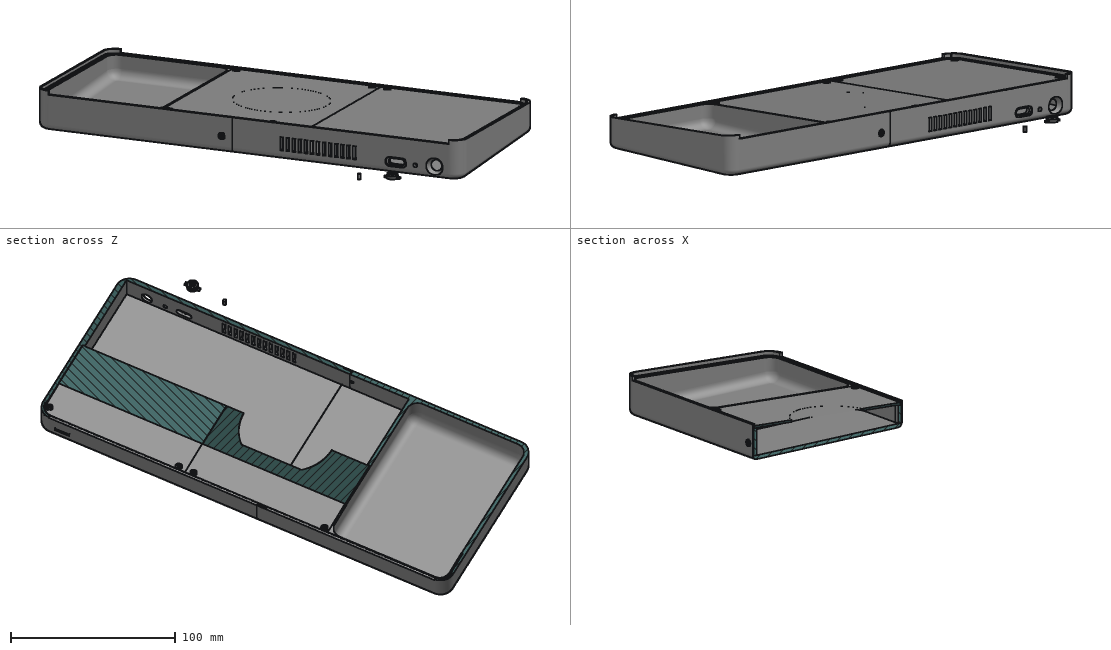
import cadquery as cq
import math

length = 281.0
depth = 115.7
half_length = length / 2
half_depth = depth / 2
front_height = 25.3
slope = math.tan(math.radians(3))
corner_radius = 8.7
bottom_fillet = 3.7
above_all = 56.2

lip_height = 2.5
lip_start = 132.0
left_lip_wall = 0.8
right_lip_wall = 1.7
side_wall = 2.0
left_wall = 2.0
right_wall = 2.5
lid_recess = 0.8
floor_thickness = 2.8
ledge = 1.5

tray_right = -59.0
tray_inset = 2.8
tray_floor = 1.5
tray_radius = 6.0
tray_corner_radius = 6.7

lid_left = -58.0
lid_seam = 40.0
lid_thickness = 1.7
lid_screw_head = 4.2
screw_shank = 2.0
screw_head_depth = 0.8
coil_diameter = 60.0
coil_skin = 0.5
coil_x = -2.2
middle_lid_screws = [(-54.5, 53.5), (-54.5, -52.8), (35.0, 53.5), (14.0, -53.0)]
right_lid_screws = [(45.2, 53.5), (135.5, 50.3), (135.7, -46.0)]

joint_x = -10.7
joint_lap = 5.5
joint_skin = 1.0

joint_screw = (-17.7, 10.0)
joint_screw_head = 4.2
joint_screw_depth = 1.0
vent_count = 13
vent_first_x = 22.0
vent_span = 48.0
vent_width = 2.0
vent_bottom, vent_top = 5.5, 14.0
port_x, port_z = 97.2, 7.0
port_recess = (13.8, 6.0)
port_opening = (10.5, 4.0)
port_recess_depth = 1.0
reset_hole = (110.0, 6.7)
reset_diameter = 2.5
jack_x, jack_z = 122.8, 7.3
jack_outer_diameter = 11.0
jack_inner_diameter = 7.0

back_slot_width = 9.8
back_slot_height = 1.7

loose_y = -77.2
pin_x = 81.2
pin_diameter = 2.0
pin_height = 3.5
button_x = 103.0
button_bottom = 3.5
button_diameter = 7.0
button_base_height = 1.7
button_top_diameter = 6.5
button_top_height = 1.0
button_ear_span = 10.0
button_ear_width = 2.0
button_ear_height = 0.8
button_recess_diameter = 3.7
button_recess_depth = 0.8
button_bar_width = 0.8


def block(x0, x1, y0, y1, z0, z1):
    """Axis-aligned box between the given limits."""
    return cq.Workplane("XY").box(x1 - x0, y1 - y0, z1 - z0, centered=False).translate((x0, y0, z0))


def below_slope(height):
    """Wedge under the sloped plane that has this height at the front face."""
    back_height = height - slope * depth
    profile = [(-half_depth, 0), (half_depth, 0), (half_depth, back_height), (-half_depth, height)]
    return cq.Workplane("YZ").polyline(profile).close().extrude(half_length, both=True)


def front_cylinder(x, z, diameter, cut_depth):
    """Cylinder that goes from the front face into the wall."""
    circle = cq.Workplane("XZ", origin=(x, -half_depth, z)).circle(diameter / 2)
    return circle.extrude(-cut_depth)


rim_height = front_height - lip_height
lid_top = rim_height - lid_recess
lid_seat = lid_top - lid_thickness
lid_half_depth = half_depth - side_wall
lid_right = half_length - right_wall
cavity_wall = side_wall + ledge


def lid_space(x0):
    """Full-height space between the side walls from x0 to the +X wall, rounded at the +X corners."""
    space = block(x0, lid_right, -lid_half_depth, lid_half_depth, 0, above_all)
    return space.edges("|Z and >X").fillet(corner_radius - right_wall)


def housing_shell():
    """Both housing halves as one sloped shell, before the joint is cut."""
    envelope = block(-half_length, half_length, -half_depth, half_depth, 0, above_all)
    shell = envelope.edges("|Z").fillet(corner_radius)
    shell = shell.faces("<Z").edges().fillet(bottom_fillet)
    shell = shell.intersect(below_slope(front_height))

    between_lips = block(-lip_start, lip_start, -half_depth, half_depth, 0, above_all)
    lip_inside = block(left_lip_wall - half_length, half_length - right_lip_wall,
                       -lid_half_depth, lid_half_depth, 0, above_all)
    lip_inside = lip_inside.edges("|Z").fillet(corner_radius - right_lip_wall)
    shell = shell.cut(between_lips.union(lip_inside).cut(below_slope(rim_height)))

    recess = lid_space(left_wall - half_length)
    recess = recess.edges("|Z and <X").fillet(corner_radius - left_wall)
    shell = shell.cut(recess.cut(below_slope(lid_top)))

    shell = shell.cut(lid_space(lid_left).cut(below_slope(lid_seat)))
    cavity = block(lid_left + ledge, lid_right - ledge, cavity_wall - half_depth,
                   half_depth - cavity_wall, floor_thickness, above_all)
    shell = shell.cut(cavity)
    return shell.cut(tray())


def tray():
    """Open tray at the -X end with rounded corners and floor edges."""
    tray_half_depth = half_depth - tray_inset
    space = block(tray_inset - half_length, tray_right, -tray_half_depth, tray_half_depth,
                  tray_floor, above_all)
    space = space.edges("|Z").fillet(tray_corner_radius)
    return space.faces("<Z").edges().fillet(tray_radius)


def vents():
    pitch = vent_span / (vent_count - 1)
    slots = cq.Workplane("XY")
    for i in range(vent_count):
        x = vent_first_x + i * pitch
        slots = slots.add(block(x - vent_width / 2, x + vent_width / 2, -half_depth,
                                cavity_wall - half_depth, vent_bottom, vent_top))
    return slots.combine()


def port():
    """Connector opening inside a shallow rounded recess."""
    face = cq.Workplane("XZ", origin=(port_x, -half_depth, port_z))
    recess = face.slot2D(*port_recess).extrude(-port_recess_depth)
    return recess.union(face.slot2D(*port_opening).extrude(-cavity_wall))


def jack():
    """Conical mouth that narrows to the inside of the wall."""
    face = cq.Workplane("XZ", origin=(jack_x, -half_depth, jack_z)).circle(jack_outer_diameter / 2)
    return face.workplane(offset=-cavity_wall).circle(jack_inner_diameter / 2).loft()


def joint_screw_hole():
    head = front_cylinder(*joint_screw, joint_screw_head, joint_screw_depth)
    return head.union(front_cylinder(*joint_screw, screw_shank, cavity_wall))


def back_slot():
    return block(jack_x - back_slot_width / 2, jack_x + back_slot_width / 2,
                 half_depth - cavity_wall, half_depth,
                 jack_z - back_slot_height / 2, jack_z + back_slot_height / 2)


def right_half_zone():
    """Space of the right half: it laps behind the outer skin of the left half."""
    beyond_joint = block(joint_x, half_length, -half_depth, half_depth, 0, above_all)
    lap = block(joint_x - joint_lap, joint_x, joint_skin - half_depth, half_depth - joint_skin,
                floor_thickness, above_all)
    return beyond_joint.union(lap)


def lid(x0, x1, screws):
    """Sloped plate that fills the seat between x0 and x1, with screw holes."""
    plate = lid_space(lid_left).intersect(below_slope(lid_top)).cut(below_slope(lid_seat))
    plate = plate.intersect(block(x0, x1, -half_depth, half_depth, 0, above_all))
    for x, y in screws:
        shank = cq.Workplane("XY", origin=(x, y, 0)).circle(screw_shank / 2).extrude(above_all)
        head = cq.Workplane("XY", origin=(x, y, 0)).circle(lid_screw_head / 2).extrude(above_all)
        plate = plate.cut(shank).cut(head.cut(below_slope(lid_top - screw_head_depth)))
    return plate


def coil_pocket():
    """Round pocket in the underside of the middle lid."""
    disc = cq.Workplane("XY", origin=(coil_x, 0, 0)).circle(coil_diameter / 2).extrude(above_all)
    return disc.intersect(below_slope(lid_top - coil_skin))


def pin():
    return cq.Workplane("XY", origin=(pin_x, loose_y, 0)).circle(pin_diameter / 2).extrude(pin_height)


def button():
    """Two-step round button with ears at its foot and a recess, crossed by a bar, in its top."""
    foot = cq.Workplane("XY", origin=(button_x, loose_y, button_bottom))
    body = foot.circle(button_diameter / 2).extrude(button_base_height)
    body = body.union(foot.rect(button_ear_span, button_ear_width).extrude(button_ear_height))
    body = body.faces(">Z").workplane().circle(button_top_diameter / 2).extrude(button_top_height)
    top = foot.workplane(offset=button_base_height + button_top_height)
    recess = top.circle(button_recess_diameter / 2).extrude(-button_recess_depth)
    bar = top.rect(button_diameter, button_bar_width).extrude(-button_recess_depth)
    return body.cut(recess.cut(bar))


shell = housing_shell().cut(vents()).cut(port()).cut(jack()).cut(joint_screw_hole()).cut(back_slot())
shell = shell.cut(front_cylinder(*reset_hole, reset_diameter, cavity_wall))
left_housing = shell.cut(right_half_zone())
right_housing = shell.intersect(right_half_zone())
middle_lid = lid(lid_left, lid_seam, middle_lid_screws).cut(coil_pocket())
right_lid = lid(lid_seam, lid_right, right_lid_screws)

result = cq.Compound.makeCompound([
    left_housing.val(), right_housing.val(), middle_lid.val(), right_lid.val(), pin().val(), button().val(),
])